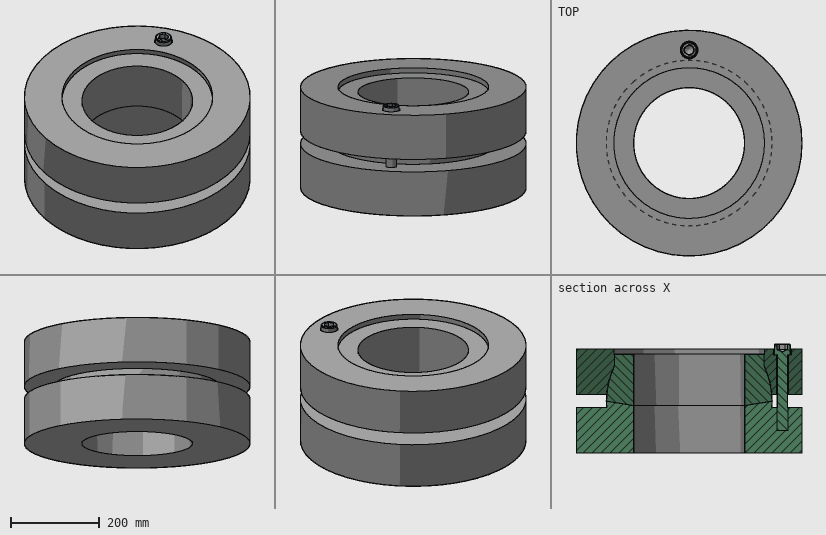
import cadquery as cq
import math

flange_diameter = 510.0
flange_height = 103.0
flange_gap = 29.0
bore_diameter = 250.0
ring_base_z = flange_height + flange_gap
ring_top_z = ring_base_z + flange_height

ball_diameter = 375.0
ball_center_z = 118.0
seat_drop = 10.0
neck_diameter = 340.0
neck_recess = 11.5

total_height = 246.0
screw_y = 210.0
shank_diameter = 24.0
clearance_diameter = 26.0
head_diameter = 36.0
head_height = shank_diameter
head_chamfer = 2.0
counterbore_diameter = 40.0
thread_depth = 51.0
socket_across_flats = 20.5
socket_depth = 12.0
socket_cone_height = 5.0

bore_radius = bore_diameter / 2
ball_radius = ball_diameter / 2
neck_radius = neck_diameter / 2
seat_bore_z = ball_center_z - seat_drop
neck_base_z = ball_center_z + math.sqrt(ball_radius**2 - neck_radius**2)
head_base_z = total_height - head_height
screw_base_z = flange_height - thread_depth


def ball_radius_at(z):
    """Radius of the ball surface at height z."""
    return math.sqrt(ball_radius**2 - (z - ball_center_z) ** 2)


def ball_point(z):
    """Radial profile point on the ball surface at height z."""
    return (ball_radius_at(z), z)


def turned(profile):
    """Closed profile in the radius-height plane turned about the Z axis."""
    return profile.close().revolve(360, (0, 0, 0), (0, 1, 0))


def cylinder(diameter, base_z, top_z):
    """Vertical cylinder on the screw axis."""
    return (
        cq.Workplane("XY", origin=(0, screw_y, base_z))
        .circle(diameter / 2)
        .extrude(top_z - base_z)
    )


def make_base_flange():
    """Lower flange with a raised nose, a conical seat and a blind screw hole."""
    nose_mid_z = (flange_height + ball_center_z) / 2
    body = turned(
        cq.Workplane("XZ")
        .moveTo(bore_radius, 0)
        .lineTo(flange_diameter / 2, 0)
        .lineTo(flange_diameter / 2, flange_height)
        .lineTo(*ball_point(flange_height))
        .threePointArc(ball_point(nose_mid_z), ball_point(ball_center_z))
        .lineTo(bore_radius, seat_bore_z)
    )
    return body.cut(cylinder(shank_diameter, screw_base_z, flange_height))


def make_hub():
    """Ball-shaped hub resting on the conical seat, with a cylindrical neck."""
    hub_top_z = ring_top_z - neck_recess
    ball_mid_z = (ball_center_z + neck_base_z) / 2
    return turned(
        cq.Workplane("XZ")
        .moveTo(bore_radius, seat_bore_z)
        .lineTo(*ball_point(ball_center_z))
        .threePointArc(ball_point(ball_mid_z), ball_point(neck_base_z))
        .lineTo(neck_radius, hub_top_z)
        .lineTo(bore_radius, hub_top_z)
    )


def make_clamp_ring():
    """Upper flange that holds the hub down, with a counterbored screw hole."""
    socket_mid_z = (ring_base_z + neck_base_z) / 2
    body = turned(
        cq.Workplane("XZ")
        .moveTo(*ball_point(ring_base_z))
        .lineTo(flange_diameter / 2, ring_base_z)
        .lineTo(flange_diameter / 2, ring_top_z)
        .lineTo(neck_radius, ring_top_z)
        .lineTo(*ball_point(neck_base_z))
        .threePointArc(ball_point(socket_mid_z), ball_point(ring_base_z))
    )
    clearance_hole = cylinder(clearance_diameter, ring_base_z, ring_top_z)
    counterbore = cylinder(counterbore_diameter, head_base_z, ring_top_z)
    return body.cut(clearance_hole).cut(counterbore)


def make_screw():
    """Socket head screw whose hexagon socket ends in a drill cone."""
    shank = cylinder(shank_diameter, screw_base_z, head_base_z)
    head = cylinder(head_diameter, head_base_z, total_height)
    head = head.faces(">Z").edges().chamfer(head_chamfer)

    across_corners = socket_across_flats / math.cos(math.pi / 6)
    socket_floor_z = total_height - socket_depth
    socket = (
        cq.Workplane("XY", origin=(0, screw_y, socket_floor_z))
        .transformed(rotate=(0, 0, 90))
        .polygon(6, across_corners)
        .extrude(socket_depth)
    )
    cone = cq.Solid.makeCone(
        socket_across_flats / 2, 0, socket_cone_height,
        cq.Vector(0, screw_y, socket_floor_z), cq.Vector(0, 0, -1),
    )
    return shank.union(head).cut(socket).cut(cq.Workplane(cone))


base_flange = make_base_flange()
hub = make_hub()
clamp_ring = make_clamp_ring()
screw = make_screw()

result = cq.Compound.makeCompound([
    base_flange.val(),
    hub.val(),
    clamp_ring.val(),
    screw.val(),
])